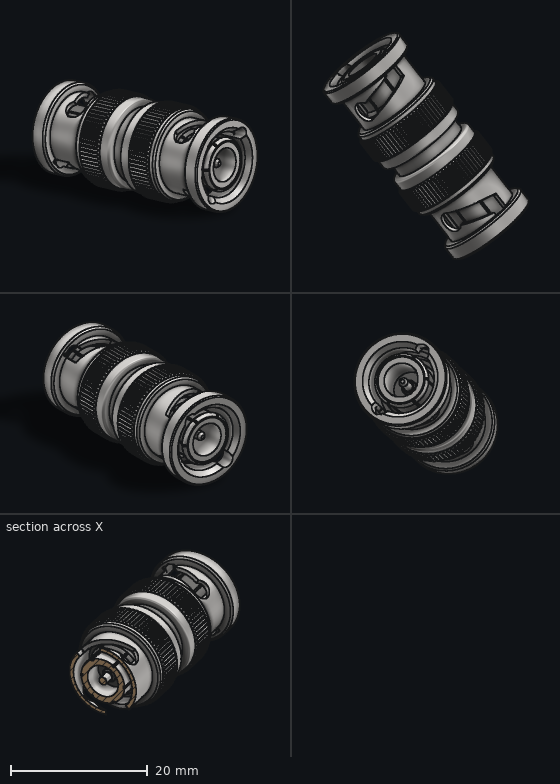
import cadquery as cq
import math

overall_length = 31.75
half_length = overall_length / 2
full_turn = 360
quarter_turn = full_turn / 4
axis_start = (0, 0, 0)
axis_end = (1, 0, 0)

flange_dia = 13.97
flange_end = 2.43
flange_front_chamfer = 0.2
flange_back_chamfer = 0.3
sleeve_dia = 11.32
collar_dia = 13.74
collar_start = 8.22
collar_end = 14.85
collar_chamfer = 0.3
collar_fillet = 0.4
waist_dia = 11.45

knurl_dia = 14.5
knurl_start = 9.18
knurl_end = 13.1
knurl_chamfer = 0.33
knurl_count = 70
knurl_groove_depth = 0.3
knurl_groove_width = 0.45

mouth_dia = 11.32
socket_dia = 9.83
mouth_depth = 0.8
socket_depth = 8.0

ring_face = 0.4
ring_neck_dia = 7.38
bead_dia = 8.1
bead_length = 1.1
ring_lip_dia = 7.26
ring_flare_start = 6.5
ring_flare_end = 7.1
ring_root_dia = 8.3
ring_bore_dia = 5.08
ring_bore_depth = 6.5
insulator_dia = 6.94
insulator_recess = 0.1
ring_slit_width = 0.28
ring_slit_count = 6

pin_base_dia = 2.13
pin_base_length = 1.5
pin_dia = 1.32
pin_flat_dia = 0.6
pin_face = 1.5
pin_taper_length = 0.5
pin_shoulder_dia = 1.6
pin_shoulder_taper_length = 0.25

bayonet_count = 2
entry_dia = 2.3
entry_angle = 51.7
entry_axis_radius = 5.05
entry_length = 4.6
ramp_pitch_per_degree = 0.027
ramp_axial_width = 2.47
ramp_back_edge_at_entry = 4.75
ramp_entry_edge_angle = 39.3
lock_dia = 3.2
lock_angle = 126.5
lock_station = 5.44
cut_inner_radius = 4.8
cut_outer_radius = 6.2
window_margin = 1.0


def disc(diameter, start, end):
    """Solid cylinder about X between two stations."""
    return cq.Workplane("YZ", origin=(start - half_length, 0, 0)).circle(diameter / 2).extrude(end - start)


def revolve_profile(points):
    """Solid of revolution about X from (station, radius) points of a closed outline."""
    outline = [(station - half_length, radius) for station, radius in points]
    return cq.Workplane("XY").polyline(outline).close().revolve(full_turn, axis_start, axis_end)


def sector(start_angle, end_angle, station, margin=0):
    """Annular sector outline in the YZ plane, reaching through the sleeve wall and further by the margin."""
    inner_radius = cut_inner_radius - margin
    outer_radius = cut_outer_radius + margin

    def point(radius, angle):
        return radius * math.cos(math.radians(angle)), radius * math.sin(math.radians(angle))

    middle_angle = (start_angle + end_angle) / 2
    return (
        cq.Workplane("YZ", origin=(station - half_length, 0, 0))
        .moveTo(*point(inner_radius, start_angle))
        .lineTo(*point(outer_radius, start_angle))
        .threePointArc(point(outer_radius, middle_angle), point(outer_radius, end_angle))
        .lineTo(*point(inner_radius, end_angle))
        .threePointArc(point(inner_radius, middle_angle), point(inner_radius, start_angle))
        .close()
    )


def turned_body():
    """Solid half of the outer body, without the knurl."""
    flange = (
        disc(flange_dia, 0, flange_end)
        .faces("<X").chamfer(flange_front_chamfer)
        .faces(">X").chamfer(flange_back_chamfer)
    )
    collar = disc(collar_dia, collar_start, collar_end).faces("<X").chamfer(collar_chamfer)
    collar = collar.faces(">X").edges().fillet(collar_fillet)
    sleeve = disc(sleeve_dia, 0, collar_end)
    waist = disc(waist_dia, collar_end, half_length)
    return sleeve.union(flange).union(collar).union(waist)


def knurl():
    """Chamfered band with V grooves along X."""
    band = disc(knurl_dia, knurl_start, knurl_end).faces("<X or >X").chamfer(knurl_chamfer)
    tip = knurl_dia / 2
    groove = (
        cq.Workplane("YZ", origin=(knurl_start - half_length, 0, 0))
        .moveTo(tip - knurl_groove_depth, 0)
        .lineTo(tip, knurl_groove_width / 2)
        .lineTo(tip + knurl_groove_depth, knurl_groove_width / 2)
        .lineTo(tip + knurl_groove_depth, -knurl_groove_width / 2)
        .lineTo(tip, -knurl_groove_width / 2)
        .close()
        .extrude(knurl_end - knurl_start)
        .val()
    )
    pitch_angle = full_turn / knurl_count
    grooves = [
        groove.rotate(axis_start, axis_end, (index + 1 / 2) * pitch_angle)
        for index in range(knurl_count)
    ]
    return band.cut(cq.Compound.makeCompound(grooves))


def socket():
    """Space bored into the end, with a conical mouth."""
    return revolve_profile([
        (0, 0),
        (0, mouth_dia / 2),
        (mouth_depth, socket_dia / 2),
        (socket_depth, socket_dia / 2),
        (socket_depth, 0),
    ])


def bayonet_slot():
    """Cutter for one complete bayonet slot."""
    entry_direction = math.radians(entry_angle)
    entry = (
        cq.Workplane("YZ", origin=(-half_length, 0, 0))
        .center(entry_axis_radius * math.cos(entry_direction), entry_axis_radius * math.sin(entry_direction))
        .circle(entry_dia / 2)
        .extrude(entry_length)
    )
    sweep_angle = lock_angle - ramp_entry_edge_angle
    ramp_length = sweep_angle * ramp_pitch_per_degree + ramp_axial_width
    ramp_start = ramp_back_edge_at_entry - ramp_axial_width
    ramp_arc = ramp_axial_width / ramp_pitch_per_degree
    ramp = sector(ramp_entry_edge_angle - ramp_arc, ramp_entry_edge_angle, ramp_start)
    ramp = ramp.twistExtrude(ramp_length, ramp_length / ramp_pitch_per_degree)
    window = sector(ramp_entry_edge_angle, lock_angle, ramp_start, margin=window_margin).extrude(ramp_length)
    lock = (
        cq.Workplane("XY", origin=(lock_station - half_length, 0, cut_inner_radius))
        .circle(lock_dia / 2)
        .extrude(cut_outer_radius - cut_inner_radius)
        .rotate(axis_start, axis_end, lock_angle - quarter_turn)
    )
    return entry.union(ramp.intersect(window)).union(lock)


def contact_ring():
    """Ring and insulator as one turned piece, with the ring slit lengthwise into fingers."""
    neck_radius = ring_neck_dia / 2
    insulator_radius = insulator_dia / 2
    root_radius = ring_root_dia / 2
    nose = ring_face - half_length
    insulator_face = nose + insulator_recess
    bore_floor = ring_bore_depth - half_length
    root = socket_depth - half_length
    ring = (
        cq.Workplane("XY")
        .moveTo(bore_floor, 0)
        .lineTo(bore_floor, ring_bore_dia / 2)
        .lineTo(insulator_face, ring_bore_dia / 2)
        .lineTo(insulator_face, insulator_radius)
        .lineTo(nose, insulator_radius)
        .lineTo(nose, ring_lip_dia / 2)
        .threePointArc((nose + bead_length / 2, bead_dia / 2), (nose + bead_length, neck_radius))
        .lineTo(ring_flare_start - half_length, neck_radius)
        .lineTo(ring_flare_end - half_length, root_radius)
        .lineTo(root, root_radius)
        .lineTo(root, 0)
        .close()
        .revolve(full_turn, axis_start, axis_end)
    )
    slit_height = root_radius - insulator_radius
    for index in range(ring_slit_count):
        slit = (
            cq.Workplane("YZ", origin=(nose, 0, 0))
            .center(insulator_radius + slit_height / 2, 0)
            .rect(slit_height, ring_slit_width)
            .extrude(ring_flare_end - ring_face)
            .rotate(axis_start, axis_end, index * full_turn / ring_slit_count)
        )
        ring = ring.cut(slit)
    return ring


def pin():
    """Centre pin with a tapered tip and a stepped base."""
    shoulder = ring_bore_depth - pin_base_length
    return revolve_profile([
        (pin_face, 0),
        (pin_face, pin_flat_dia / 2),
        (pin_face + pin_taper_length, pin_dia / 2),
        (shoulder, pin_dia / 2),
        (shoulder, pin_shoulder_dia / 2),
        (shoulder + pin_shoulder_taper_length, pin_base_dia / 2),
        (ring_bore_depth, pin_base_dia / 2),
        (ring_bore_depth, 0),
    ])


half = turned_body().union(knurl()).cut(socket())
slot = bayonet_slot()
for index in range(bayonet_count):
    half = half.cut(slot.rotate(axis_start, axis_end, index * full_turn / bayonet_count))
half = half.union(contact_ring()).union(pin())
result = half.union(half.mirror("YZ"))